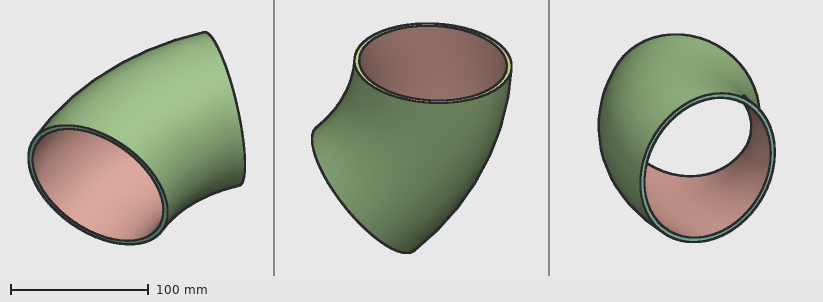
import cadquery as cq

outer_diameter = 114.3
wall_thickness = 3.5
bend_radius = 152.5
bend_angle = 45

inner_diameter = outer_diameter - 2 * wall_thickness

pipe_section = (
    cq.Workplane("XZ")
    .circle(outer_diameter / 2)
    .circle(inner_diameter / 2)
)

axis_start = (bend_radius, 0)
axis_end = (bend_radius, -1)

result = pipe_section.revolve(bend_angle, axis_start, axis_end)